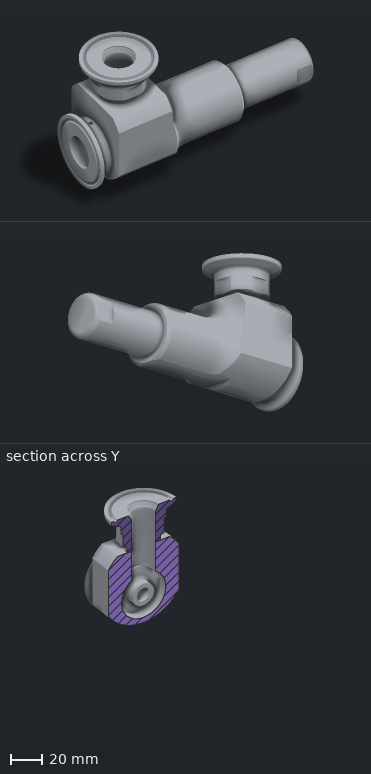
import cadquery as cq
import math


block_width = 55.0
block_front = -17.8
block_back = 23.0
block_top = 37.0
block_round_radius = 32.6
block_round_height = 11.4

barrel_radius = 20.9
barrel_back = 83.0
barrel_chamfer = 2.0
blend_radius = 17.8
barrel_flat = -18.7
barrel_flat_front = 18.0

chamber_radius = 17.0
chamber_back = 8.2
outlet_bore_radius = 9.2
outlet_bore_floor = 11.9

spindle_radius = 15.1
spindle_back = 140.0
spindle_round = 3.9
spindle_flat_distance = 13.8
spindle_flat_length = 13.6
spindle_flat_bulge = 0.8

flange_radius = 25.3
flange_rim = 2.9
rim_round = 1.2
groove_radius = 21.8
groove_half_width = 1.2
groove_depth = 1.4
groove_lip_round = 0.5
mouth_radius = 11.2
throat_radius = 10.0

inlet_face = -30.0
inlet_neck_radius = 20.0
inlet_root_depth = 5.1
inlet_root_fillet = 2.0
joint_chamfer = 0.8
inlet_throat_depth = 7.1
nozzle_radius = 8.2
nozzle_bore_radius = 5.0
nozzle_tip = -0.5
nozzle_root = -7.8
nozzle_fillet = 2.7
leak_hole_diameter = 3.0
leak_hole_place = -21.2
leak_hole_depth = 3.4

outlet_face = 65.0
outlet_collar_radius = 17.7
outlet_root_depth = 6.3
outlet_root_fillet = 1.4
outlet_collar_bottom = 43.5
outlet_neck_radius = 13.3
outlet_neck_top = 41.0
outlet_mouth_depth = 0.8
outlet_throat_depth = 3.0
outlet_lip_depth = 5.0
outlet_lip_round = 2.5
wrench_flat_distance = 16.2
wrench_flat_top = 52.4


def make_housing():
    block_bottom = block_round_height - block_round_radius
    trim_height = 2 * block_round_radius
    trim = (
        cq.Workplane("XY")
        .box(block_width, barrel_back - block_front, trim_height, centered=(True, False, False))
        .translate((0, block_front, block_top - trim_height))
    )
    block = (
        cq.Workplane("XZ", origin=(0, block_front, 0))
        .center(0, block_round_height)
        .circle(block_round_radius)
        .extrude(block_front - barrel_back)
        .intersect(trim)
    )

    reach = math.hypot(block_width / 2, block_top)
    blend_start = block_back + blend_radius
    blend_top = barrel_radius + blend_radius
    blend_mid = blend_radius * math.sqrt(0.5)
    envelope = (
        cq.Workplane("XY")
        .moveTo(0, block_front)
        .lineTo(reach, block_front)
        .lineTo(reach, block_back)
        .lineTo(blend_top, block_back)
        .threePointArc((blend_top - blend_mid, blend_start - blend_mid), (barrel_radius, blend_start))
        .lineTo(0, blend_start)
        .close()
        .revolve(360, (0, 0, 0), (0, 1, 0))
    )
    barrel = (
        cq.Workplane("XZ", origin=(0, block_back, 0))
        .circle(barrel_radius)
        .extrude(block_back - barrel_back)
        .faces(">Y")
        .chamfer(barrel_chamfer)
    )
    housing = block.intersect(envelope).union(barrel)

    shoulder_drop = barrel_flat - block_bottom
    flat_cut = (
        cq.Workplane("YZ")
        .moveTo(barrel_flat_front, block_bottom)
        .lineTo(barrel_flat_front + shoulder_drop, barrel_flat)
        .lineTo(barrel_back, barrel_flat)
        .lineTo(barrel_back, block_bottom)
        .close()
        .extrude(barrel_radius, both=True)
    )

    chamber = (
        cq.Workplane("XZ", origin=(0, block_front, 0))
        .circle(chamber_radius)
        .extrude(block_front - chamber_back)
    )
    outlet_bore = (
        cq.Workplane("XY", origin=(0, 0, outlet_bore_floor))
        .circle(outlet_bore_radius)
        .extrude(block_top - outlet_bore_floor)
    )
    return housing.cut(flat_cut).cut(chamber).cut(outlet_bore)


def round_edge(solid, height, radius):
    """Round the circular edge that is centred on the Z axis at this height."""
    margin = 0.02
    selector = cq.selectors.BoxSelector(
        (-margin, -margin, height - margin), (margin, margin, height + margin)
    )
    return solid.edges(selector).fillet(radius)


def finish_flange(ferrule, root_depth, root_fillet):
    """Round the back of a flange whose sealing face lies at z = 0, and cut its gasket groove."""
    ferrule = round_edge(ferrule, -flange_rim, rim_round)
    ferrule = round_edge(ferrule, -root_depth, root_fillet)

    inner_wall = groove_radius - groove_half_width
    outer_wall = groove_radius + groove_half_width
    lip_mid = groove_lip_round * (1 - math.sqrt(0.5))
    groove = (
        cq.Workplane("XZ")
        .moveTo(inner_wall - groove_lip_round, 0)
        .threePointArc((inner_wall - lip_mid, -lip_mid), (inner_wall, -groove_lip_round))
        .threePointArc((groove_radius, -groove_depth), (outer_wall, -groove_lip_round))
        .threePointArc((outer_wall + lip_mid, -lip_mid), (outer_wall + groove_lip_round, 0))
        .close()
        .revolve(360, (0, 0, 0), (0, 1, 0))
    )
    return ferrule.cut(groove)


def make_inlet_ferrule():
    joint = inlet_face - block_front
    root = inlet_face - nozzle_root
    tip = inlet_face - nozzle_tip
    fillet_mid = nozzle_fillet * (1 - math.sqrt(0.5))
    ferrule = (
        cq.Workplane("XZ")
        .moveTo(mouth_radius, 0)
        .lineTo(flange_radius, 0)
        .lineTo(flange_radius, -flange_rim)
        .lineTo(inlet_neck_radius, -inlet_root_depth)
        .lineTo(inlet_neck_radius, joint + joint_chamfer)
        .lineTo(inlet_neck_radius - joint_chamfer, joint)
        .lineTo(chamber_radius, joint)
        .lineTo(chamber_radius, root)
        .lineTo(nozzle_radius + nozzle_fillet, root)
        .threePointArc(
            (nozzle_radius + fillet_mid, root - fillet_mid),
            (nozzle_radius, root - nozzle_fillet),
        )
        .lineTo(nozzle_radius, tip)
        .lineTo(nozzle_bore_radius, tip)
        .lineTo(throat_radius, -inlet_throat_depth)
        .close()
        .revolve(360, (0, 0, 0), (0, 1, 0))
    )
    ferrule = (
        finish_flange(ferrule, inlet_root_depth, inlet_root_fillet)
        .rotate((0, 0, 0), (1, 0, 0), 90)
        .translate((0, inlet_face, 0))
    )
    leak_hole = (
        cq.Workplane("XY", origin=(0, leak_hole_place, inlet_neck_radius))
        .circle(leak_hole_diameter / 2)
        .extrude(-leak_hole_depth)
    )
    return ferrule.cut(leak_hole)


def make_outlet_ferrule():
    ferrule = (
        cq.Workplane("XZ")
        .moveTo(mouth_radius, 0)
        .lineTo(flange_radius, 0)
        .lineTo(flange_radius, -flange_rim)
        .lineTo(outlet_collar_radius, -outlet_root_depth)
        .lineTo(outlet_collar_radius, outlet_collar_bottom - outlet_face)
        .lineTo(outlet_neck_radius, outlet_neck_top - outlet_face)
        .lineTo(outlet_neck_radius, block_top - outlet_face)
        .lineTo(outlet_bore_radius, block_top - outlet_face)
        .lineTo(outlet_bore_radius, -outlet_lip_depth)
        .radiusArc((throat_radius, -outlet_throat_depth), outlet_lip_round)
        .lineTo(mouth_radius, -outlet_mouth_depth)
        .close()
        .revolve(360, (0, 0, 0), (0, 1, 0))
    )
    ferrule = finish_flange(ferrule, outlet_root_depth, outlet_root_fillet)
    ferrule = ferrule.translate((0, 0, outlet_face))

    flat_height = wrench_flat_top - outlet_neck_top
    for side in range(4):
        flat_cut = (
            cq.Workplane("XY")
            .box(outlet_collar_radius, block_width, flat_height, centered=(False, True, False))
            .translate((wrench_flat_distance, 0, outlet_neck_top))
            .rotate((0, 0, 0), (0, 0, 1), 90 * side)
        )
        ferrule = ferrule.cut(flat_cut)
    return ferrule


def make_spindle():
    spindle = (
        cq.Workplane("XZ", origin=(0, barrel_back, 0))
        .circle(spindle_radius)
        .extrude(barrel_back - spindle_back)
        .faces(">Y")
        .edges()
        .fillet(spindle_round)
    )

    flat_front = spindle_back - spindle_flat_length
    flat_half_height = math.sqrt(spindle_radius**2 - spindle_flat_distance**2)
    for side in (-1, 1):
        flat_cut = (
            cq.Workplane("YZ", origin=(side * spindle_flat_distance, 0, 0))
            .moveTo(spindle_back, flat_half_height)
            .lineTo(flat_front, flat_half_height)
            .threePointArc((flat_front - spindle_flat_bulge, 0), (flat_front, -flat_half_height))
            .lineTo(spindle_back, -flat_half_height)
            .close()
            .extrude(side * spindle_radius)
        )
        spindle = spindle.cut(flat_cut)
    return spindle


housing = make_housing()
inlet_ferrule = make_inlet_ferrule()
outlet_ferrule = make_outlet_ferrule()
spindle = make_spindle()

result = cq.Compound.makeCompound(
    [housing.val(), inlet_ferrule.val(), outlet_ferrule.val(), spindle.val()]
)